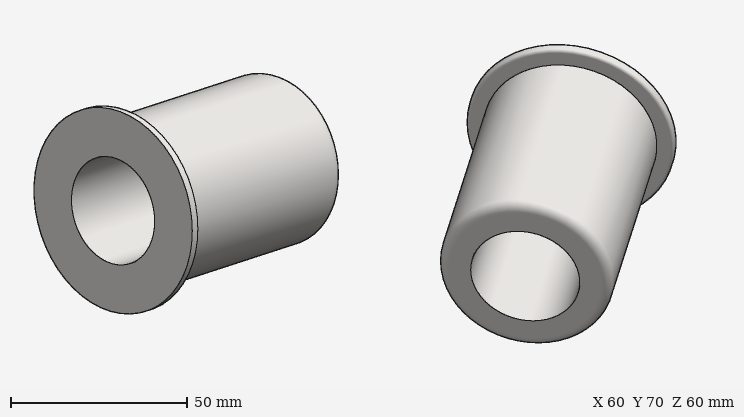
import cadquery as cq

total_length = 70.0
body_diameter = 50.0
bore_diameter = 31.5
flange_diameter = 60.0
flange_thickness = 3.0
body_end_fillet = 3.0
flange_rim_fillet = 1.0


def cylinder_along_y(diameter, length):
    """Solid cylinder starting at Y = 0 and extending toward +Y."""
    return cq.Workplane("XZ").circle(diameter / 2).extrude(-length)


def flange():
    """Collar at the -Y end, with its rim rounded on the body side."""
    disc = cylinder_along_y(flange_diameter, flange_thickness)
    return disc.faces(">Y").edges().fillet(flange_rim_fillet)


def body():
    """Sleeve barrel, rounded at its free +Y end."""
    barrel = cylinder_along_y(body_diameter, total_length)
    return barrel.faces(">Y").edges().fillet(body_end_fillet)


def bore():
    """Through hole along the full length."""
    return cylinder_along_y(bore_diameter, total_length)


result = body().union(flange()).cut(bore())